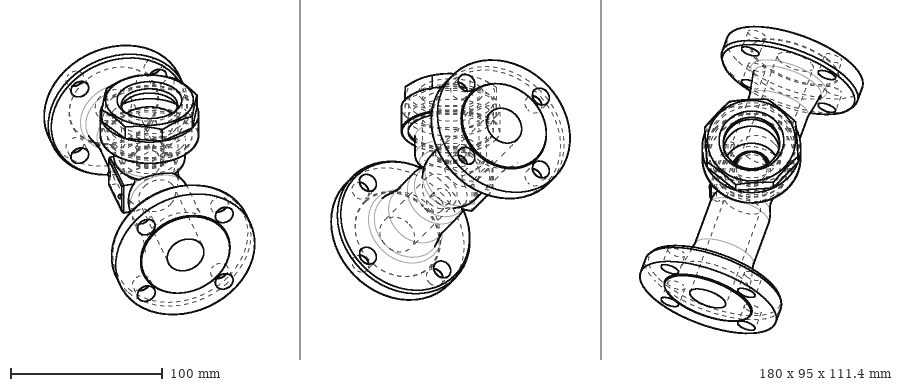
import cadquery as cq
import math

length = 180.0
flange_diameter = 95.0
cap_top = 63.9

raised_face_diameter = 61.2
raised_face_edge_diameter = 60.1
raised_face_height = 0.7
flange_thickness = 13.0
flange_chamfer_width = 2.3
flange_chamfer_depth = 1.5
bolt_hole_diameter = 12.0
bolt_circle_diameter = 75.2
bolt_hole_count = 4

pipe_diameter = 41.0
hub_diameter = 47.0
hub_fillet = 2.9
hub_end = 56.3
bore_diameter = 25.0
partition_thickness = 37.0

waist_center = 10.0
waist_half_width = 15.0
waist_hollow_half_width = 7.0
waist_depth = 3.2

neck_diameter = 47.0
neck_round_start = 18.7
neck_round = 5.5
neck_taper_top = 13.9
neck_bottom = 9.0
neck_top = 32.0
head_diameter = 56.0
head_top = 45.7
chamber_diameter = 37.0
chamber_floor = 18.0

step_diameter = 25.0
step_height = 0.9
seat_ring_diameter = 23.0
seat_ring_round = 0.7
ball_diameter = 20.5

plate_width = 34.2
plate_height = 22.0
plate_front = 23.4
plate_chamfer = 1.0
rivet_diameter = 2.9
rivet_spacing = 26.6

cap_diameter = 65.0
cap_bottom = 35.3
octagon_bottom = 52.7
octagon_sides = 8
cap_top_face_diameter = 58.0
cap_chamfer_angle = 30.0
cap_edge_chamfer = 0.5
lip_diameter = 37.0
lip_bottom = 56.7
lip_cone_bottom = 60.1
lip_cone_diameter = 42.7


def disc(diameter, bottom, top):
    """Upright cylinder on the Z axis between two heights."""
    return cq.Workplane("XY").workplane(offset=bottom).circle(diameter / 2).extrude(top - bottom)


def make_flange_and_hub():
    """Flange at the -X end with its hub, turned about the X axis."""
    outer_face = -length / 2
    face = outer_face + raised_face_height
    back = face + flange_thickness
    rim_radius = flange_diameter / 2
    hub_radius = hub_diameter / 2
    diagonal = hub_fillet * (1 - math.sqrt(0.5))
    flange = (
        cq.Workplane("XY")
        .moveTo(outer_face, 0)
        .lineTo(outer_face, raised_face_edge_diameter / 2)
        .lineTo(face, raised_face_diameter / 2)
        .lineTo(face, rim_radius)
        .lineTo(back - flange_chamfer_width, rim_radius)
        .lineTo(back, rim_radius - flange_chamfer_depth)
        .lineTo(back, hub_radius + hub_fillet)
        .threePointArc((back + diagonal, hub_radius + diagonal), (back + hub_fillet, hub_radius))
        .lineTo(-hub_end, pipe_diameter / 2)
        .lineTo(-hub_end, 0)
        .close()
        .revolve(360, (0, 0, 0), (1, 0, 0))
    )
    bolt_holes = (
        cq.Workplane("YZ")
        .workplane(offset=face)
        .polarArray(bolt_circle_diameter / 2, 180 / bolt_hole_count, 360, bolt_hole_count)
        .circle(bolt_hole_diameter / 2)
        .extrude(flange_thickness)
    )
    return flange.cut(bolt_holes)


def make_pipe():
    """Pipe between the hubs, turned about the X axis, with a smooth waist of three tangent arcs."""
    radius = pipe_diameter / 2
    shoulder_width = waist_half_width - waist_hollow_half_width
    shoulder_radius = radius - waist_depth * shoulder_width / waist_half_width
    return (
        cq.Workplane("XY")
        .moveTo(-hub_end, 0)
        .lineTo(-hub_end, radius)
        .lineTo(waist_center - waist_half_width, radius)
        .tangentArcPoint((waist_center - waist_hollow_half_width, shoulder_radius), relative=False)
        .tangentArcPoint((waist_center + waist_hollow_half_width, shoulder_radius), relative=False)
        .tangentArcPoint((waist_center + waist_half_width, radius), relative=False)
        .lineTo(hub_end, radius)
        .lineTo(hub_end, 0)
        .close()
        .revolve(360, (0, 0, 0), (1, 0, 0))
    )


def make_neck():
    """Neck with a rounded, tapering foot and a fillet that widens into the head, turned about Z."""
    radius = neck_diameter / 2
    head_radius = head_diameter / 2
    widening = head_radius - radius
    fillet_diagonal = widening * math.sqrt(0.5)
    round_center = radius - neck_round
    sweep = math.asin((neck_round_start - neck_taper_top) / neck_round)
    taper_radius = round_center + neck_round * math.cos(sweep)
    bottom_radius = taper_radius - (neck_taper_top - neck_bottom)
    return (
        cq.Workplane("XZ")
        .moveTo(0, neck_bottom)
        .lineTo(bottom_radius, neck_bottom)
        .lineTo(taper_radius, neck_taper_top)
        .threePointArc(
            (
                round_center + neck_round * math.cos(sweep / 2),
                neck_round_start - neck_round * math.sin(sweep / 2),
            ),
            (radius, neck_round_start),
        )
        .lineTo(radius, neck_top)
        .threePointArc(
            (head_radius - fillet_diagonal, neck_top + fillet_diagonal),
            (head_radius, neck_top + widening),
        )
        .lineTo(head_radius, head_top)
        .lineTo(0, head_top)
        .close()
        .revolve(360, (0, 0, 0), (0, 1, 0))
    )


def make_ball_seat():
    """Low round step with a half-round ring that holds a ball, turned about Z as one piece."""
    step_top = chamber_floor + step_height
    ring_outer_radius = seat_ring_diameter / 2
    ring_crest_radius = ring_outer_radius - seat_ring_round
    ring_inner_radius = ring_crest_radius - seat_ring_round
    ball_radius = ball_diameter / 2
    ball_center = step_top + math.sqrt(ball_radius**2 - ring_inner_radius**2)
    ball_diagonal = ball_radius * math.sqrt(0.5)
    return (
        cq.Workplane("XZ")
        .moveTo(0, chamber_floor)
        .lineTo(step_diameter / 2, chamber_floor)
        .lineTo(step_diameter / 2, step_top)
        .lineTo(ring_outer_radius, step_top)
        .threePointArc((ring_crest_radius, step_top + seat_ring_round), (ring_inner_radius, step_top))
        .threePointArc((ball_diagonal, ball_center + ball_diagonal), (0, ball_center + ball_radius))
        .close()
        .revolve(360, (0, 0, 0), (0, 1, 0))
    )


def make_name_plate():
    """Plate block on the -Y side of the pipe with two round-headed rivets."""
    plate = (
        cq.Workplane("XZ")
        .rect(plate_width, plate_height)
        .extrude(plate_front)
        .faces("<Y")
        .chamfer(plate_chamfer)
    )
    for side in (-1, 1):
        rivet_place = (side * rivet_spacing / 2, -plate_front, 0)
        plate = plate.union(cq.Workplane("XY").sphere(rivet_diameter / 2).translate(rivet_place))
    return plate


def make_bore():
    """Blind bore from the -X end up to the solid middle."""
    depth = (length - partition_thickness) / 2
    return cq.Workplane("YZ").workplane(offset=-length / 2).circle(bore_diameter / 2).extrude(depth)


def make_housing():
    flange = make_flange_and_hub()
    bore = make_bore()
    chamber = disc(chamber_diameter, chamber_floor, head_top)
    return (
        make_pipe()
        .union(flange)
        .union(flange.mirror("YZ"))
        .union(make_neck())
        .union(make_name_plate())
        .cut(bore)
        .cut(bore.mirror("YZ"))
        .cut(chamber)
        .union(make_ball_seat())
    )


def make_cap():
    """Round nut with an octagonal top, screwed over the head, with an inward lip."""
    collar = disc(cap_diameter, cap_bottom, octagon_bottom).faces("<Z").chamfer(cap_edge_chamfer)
    octagon = (
        cq.Workplane("XY")
        .workplane(offset=octagon_bottom)
        .polygon(octagon_sides, cap_diameter)
        .extrude(cap_top - octagon_bottom)
    )
    trim_width = (cap_diameter - cap_top_face_diameter) / 2
    trim_height = trim_width * math.tan(math.radians(cap_chamfer_angle))
    trim = disc(cap_diameter, octagon_bottom, cap_top).faces(">Z").chamfer(trim_height, trim_width)
    lip_cone = (
        cq.Workplane("XY")
        .workplane(offset=lip_cone_bottom)
        .circle(lip_diameter / 2)
        .workplane(offset=cap_top - lip_cone_bottom)
        .circle(lip_cone_diameter / 2)
        .loft()
    )
    return (
        collar.union(octagon.intersect(trim))
        .cut(disc(head_diameter, cap_bottom, lip_bottom))
        .cut(disc(lip_diameter, lip_bottom, cap_top))
        .cut(lip_cone)
    )


housing = make_housing()
cap = make_cap()

result = cq.Compound.makeCompound([housing.val(), cap.val()])